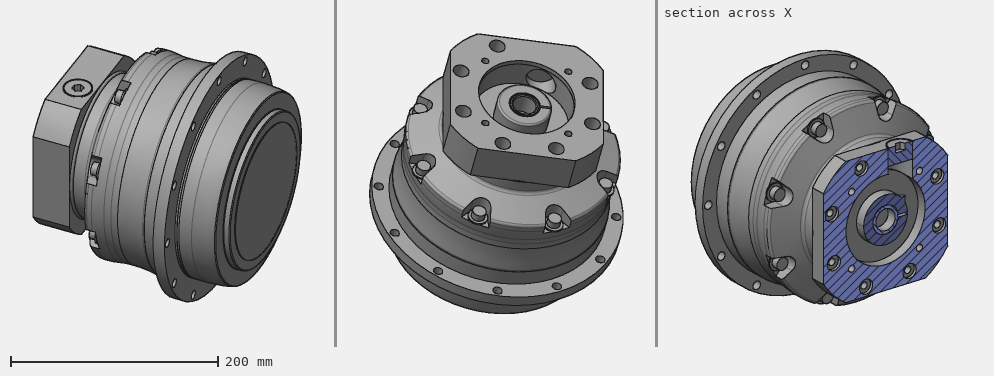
import cadquery as cq
import math


hub_front = 10.5
bore_floor = 32.5
adapter_end = 38.8
cover_end = 103.7
flange_start = 151.2
flange_end = 163.3
nose_face = 205.3
overall_length = 213.5

plate_half = 75.0
plate_corner_radius = 89.2
bore_radius = 47.5
pilot_depth = 5.0
pilot_step = 0.12
motor_hole_radius = 3.5
motor_hole_offset = 40.8
screw_circle_radius = 68.7
screw_hole_radius = 3.7
screw_head_radius = 7.7
screw_head_depth = 24.7

pattern_count = 8
pattern_step = 360 / pattern_count
pattern_start = 20.0
plug_slot_index = 2

plug_x = 20.7
plug_y = -17.8
plug_radius = 14.3
plug_length = 19.8
plug_chamfer = 1.0
hex_flats = 10.1
hex_depth = 7.5
hex_turn = 30

hub_radius = 26.7
hub_fillet = 2.0
hub_bore_radius = 14.8
hub_bore_chamfer = 0.5
slot_width = 2.2
clamp_screw_radius = 6.2
clamp_screw_top = 19.0
bushing_bore_radius = 11.4
bushing_chamfer = 1.0

collar_radius = 74.3
collar_mid = (41.2, 73.4)
neck_start = 42.0
neck_radius = 72.9
neck_fillet = 4.0
cone_foot = 56.8
cone_top = 69.5
rim_radius = 105.5
rim_fillet = 3.2
rim_end = 76.5
waist_inflection = 89.5
waist_start = 96.5
waist_radius = 103.5

bolt_circle_radius = 96.8
bolt_radius = 6.7
bolt_head_start = 70.5
washer_radius = 9.6
washer_start = 78.0
pocket_floor = 79.8
pocket_radius = 10.1
pocket_half_angle = 22.5
pocket_start = 54.3
pocket_length = 34.5

shoulder_start = 132.0
shoulder_end = 133.6
body_radius = 106.7
shoulder_step = 0.2
flange_radius = 123.5
flange_hole_count = 12
flange_hole_circle = 116.5
flange_hole_radius = 4.5
centring_radius = 100.0
groove_start = 165.2
groove_end = 167.5
groove_depth = 0.7
dome_start = 181.0
dome_end = 204.3
dome_drop = 2.5
dome_chamfer = nose_face - dome_end
output_radius = 80.0
output_seat_step = 0.5
output_seat_end = 206.0
output_chamfer_start = 211.5
output_chamfer = 1.0
output_face_radius = 69.2


def cylinder(start, end, radius, y=0.0, z=0.0):
    """Solid cylinder parallel to X from start to end."""
    return cq.Workplane("YZ", origin=(start, y, z)).circle(radius).extrude(end - start)


def turned(profile):
    """Revolve a closed profile, drawn as (X, radius), around the X axis."""
    return profile.close().revolve(360, (0, 0, 0), (1, 0, 0))


def turn_about_axis(shape, angle):
    return shape.rotate((0, 0, 0), (1, 0, 0), angle)


def corner_arc(before, corner, after, radius):
    """Start, middle and end of the arc that rounds the corner of a path."""
    def unit(point):
        dx, dy = point[0] - corner[0], point[1] - corner[1]
        length = math.hypot(dx, dy)
        return dx / length, dy / length

    ax, ay = unit(before)
    bx, by = unit(after)
    half = math.acos(ax * bx + ay * by) / 2
    tangent = radius / math.tan(half)
    start = (corner[0] + tangent * ax, corner[1] + tangent * ay)
    end = (corner[0] + tangent * bx, corner[1] + tangent * by)
    to_middle = radius / math.sin(half) - radius
    bisector = math.hypot(ax + bx, ay + by)
    middle = (
        corner[0] + to_middle * (ax + bx) / bisector,
        corner[1] + to_middle * (ay + by) / bisector,
    )
    return start, middle, end


def make_adapter():
    plate = cq.Workplane("YZ").rect(2 * plate_half, 2 * plate_half).extrude(adapter_end)
    plate = plate.intersect(cylinder(0, adapter_end, plate_corner_radius))
    plate = plate.cut(cylinder(0, pilot_depth, bore_radius))
    plate = plate.cut(cylinder(0, adapter_end, bore_radius - pilot_step))
    for y in (-motor_hole_offset, motor_hole_offset):
        for z in (-motor_hole_offset, motor_hole_offset):
            plate = plate.cut(cylinder(0, adapter_end, motor_hole_radius, y, z))
    screw_hole = cylinder(0, adapter_end, screw_hole_radius, screw_circle_radius)
    screw_hole = screw_hole.union(cylinder(0, screw_head_depth, screw_head_radius, screw_circle_radius))
    for index in range(pattern_count):
        if index != plug_slot_index:
            plate = plate.cut(turn_about_axis(screw_hole, pattern_start + index * pattern_step))
    access_hole = cq.Workplane("XY", origin=(plug_x, plug_y, 0)).circle(plug_radius).extrude(plate_half)
    return plate.cut(access_hole)


def make_plug():
    plug = cq.Workplane("XY", origin=(plug_x, plug_y, plate_half)).circle(plug_radius).extrude(-plug_length)
    plug = plug.faces(">Z").chamfer(plug_chamfer)
    socket = (
        cq.Workplane("XY", origin=(plug_x, plug_y, plate_half))
        .transformed(rotate=(0, 0, hex_turn))
        .polygon(6, hex_flats / math.cos(math.pi / 6))
        .extrude(-hex_depth)
    )
    return plug.cut(socket)


def make_hub():
    hub = cylinder(hub_front, bore_floor, hub_radius).faces("<X").edges().fillet(hub_fillet)
    clamp_screw = (
        cq.Workplane("XY", origin=(plug_x, plug_y, 0)).circle(clamp_screw_radius).extrude(clamp_screw_top)
    )
    hub = hub.union(clamp_screw)
    hub = hub.cut(cylinder(hub_front, bore_floor, hub_bore_radius))
    hub = hub.faces("<X").edges(cq.selectors.RadiusNthSelector(0)).chamfer(hub_bore_chamfer)
    slot = (
        cq.Workplane("XY")
        .box(bore_floor - hub_front, hub_radius, slot_width, centered=(False, False, True))
        .translate((hub_front, -hub_radius, 0))
    )
    return hub.cut(slot)


def make_bushing():
    bushing = cylinder(hub_front, bore_floor, hub_bore_radius)
    bushing = bushing.cut(cylinder(hub_front, bore_floor, bushing_bore_radius))
    return bushing.faces("<X").edges().chamfer(bushing_chamfer)


def make_cover_blank():
    foot = (cone_foot, neck_radius)
    top = (cone_top, rim_radius)
    foot_start, foot_middle, foot_end = corner_arc((neck_start, neck_radius), foot, top, neck_fillet)
    top_start, top_middle, top_end = corner_arc(foot, top, (rim_end, rim_radius), rim_fillet)
    convex = waist_inflection - rim_end
    blend_share = convex / (waist_start - rim_end)
    inflection_radius = rim_radius - blend_share * (rim_radius - waist_radius)
    profile = (
        cq.Workplane("XY")
        .moveTo(bore_floor, 0)
        .lineTo(bore_floor, bore_radius - pilot_step)
        .lineTo(adapter_end, bore_radius - pilot_step)
        .lineTo(adapter_end, collar_radius)
        .lineTo(*collar_mid)
        .lineTo(neck_start, neck_radius)
        .lineTo(*foot_start)
        .threePointArc(foot_middle, foot_end)
        .lineTo(*top_start)
        .threePointArc(top_middle, top_end)
        .lineTo(rim_end, rim_radius)
        .tangentArcPoint((waist_inflection, inflection_radius), relative=False)
        .tangentArcPoint((waist_start, waist_radius), relative=False)
        .lineTo(cover_end, waist_radius)
        .lineTo(cover_end, 0)
    )
    return turned(profile)


def make_bolt_pocket():
    """Pocket at angle zero: round at the inner end, with walls that spread outwards."""
    half = math.radians(pocket_half_angle)
    tangent_y = bolt_circle_radius - pocket_radius * math.sin(half)
    tangent_z = pocket_radius * math.cos(half)
    outer_y = tangent_y + pocket_length * math.cos(half)
    outer_z = tangent_z + pocket_length * math.sin(half)
    return (
        cq.Workplane("YZ", origin=(pocket_start, 0, 0))
        .moveTo(tangent_y, tangent_z)
        .lineTo(outer_y, outer_z)
        .lineTo(outer_y, -outer_z)
        .lineTo(tangent_y, -tangent_z)
        .threePointArc((bolt_circle_radius - pocket_radius, 0), (tangent_y, tangent_z))
        .close()
        .extrude(pocket_floor - pocket_start)
    )


def make_cover():
    cover = make_cover_blank()
    pocket = make_bolt_pocket()
    bolt = cylinder(bolt_head_start, pocket_floor, bolt_radius, bolt_circle_radius)
    bolt = bolt.union(cylinder(washer_start, pocket_floor, washer_radius, bolt_circle_radius))
    for index in range(pattern_count):
        angle = pattern_start + index * pattern_step
        cover = cover.cut(turn_about_axis(pocket, angle)).union(turn_about_axis(bolt, angle))
    return cover


def make_housing():
    shoulder_radius = body_radius - shoulder_step
    dome_end_radius = centring_radius - dome_drop
    output_chamfer_radius = output_radius - output_chamfer
    output_chamfer_end = output_chamfer_start + output_chamfer
    flare_length = shoulder_start - cover_end
    flare_rise = shoulder_radius - waist_radius
    flare_radius = (flare_length**2 + flare_rise**2) / (2 * flare_rise)
    half_angle = math.asin(flare_length / flare_radius) / 2
    flare_middle = (
        cover_end + flare_radius * math.sin(half_angle),
        waist_radius + flare_radius * (1 - math.cos(half_angle)),
    )
    profile = (
        cq.Workplane("XY")
        .moveTo(cover_end, 0)
        .lineTo(cover_end, waist_radius)
        .threePointArc(flare_middle, (shoulder_start, shoulder_radius))
        .lineTo(shoulder_end, shoulder_radius)
        .lineTo(shoulder_end, body_radius)
        .lineTo(flange_start, body_radius)
        .lineTo(flange_start, flange_radius)
        .lineTo(flange_end, flange_radius)
        .lineTo(flange_end, centring_radius)
        .lineTo(groove_start, centring_radius)
        .lineTo(groove_start, centring_radius - groove_depth)
        .lineTo(groove_end, centring_radius)
        .lineTo(dome_start, centring_radius)
        .tangentArcPoint((dome_end, dome_end_radius), relative=False)
        .lineTo(nose_face, dome_end_radius - dome_chamfer)
        .lineTo(nose_face, output_radius + output_seat_step)
        .lineTo(output_seat_end, output_radius + output_seat_step)
        .lineTo(output_seat_end, output_radius)
        .lineTo(output_chamfer_start, output_radius)
        .lineTo(output_chamfer_end, output_chamfer_radius)
        .lineTo(output_chamfer_end, output_face_radius)
        .lineTo(overall_length, output_face_radius)
        .lineTo(overall_length, 0)
    )
    housing = turned(profile)
    hole = cylinder(flange_start, flange_end, flange_hole_radius, flange_hole_circle)
    for index in range(flange_hole_count):
        housing = housing.cut(turn_about_axis(hole, index * 360 / flange_hole_count))
    return housing


adapter = make_adapter()
plug = make_plug()
hub = make_hub()
bushing = make_bushing()
cover = make_cover()
housing = make_housing()

bodies = [adapter, plug, hub, bushing, cover, housing]
result = cq.Compound.makeCompound([body.solids().val() for body in bodies])